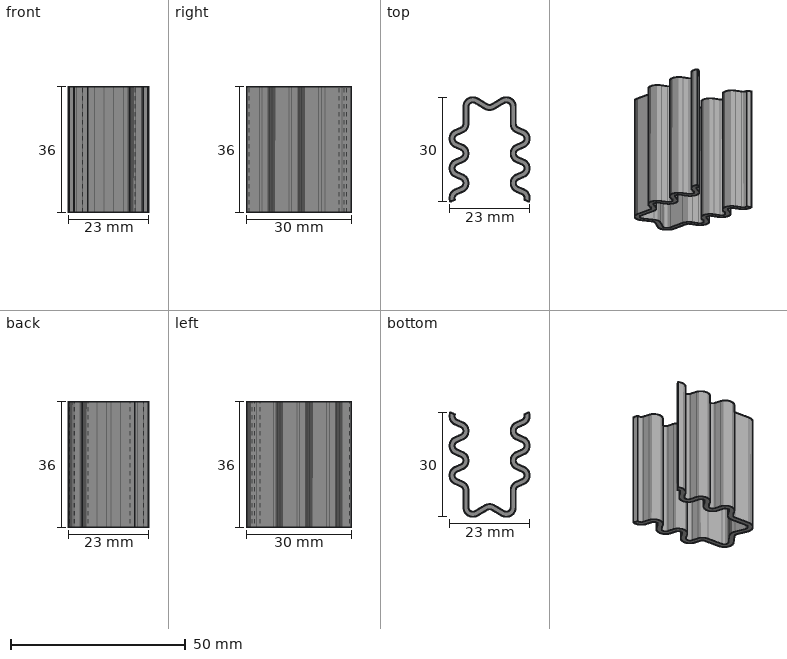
import cadquery as cq
import math

length = 36.0
overall_width = 23.0
thickness = 1.5
wall_outer_x = 7.52
wave_radius = 1.9
wave_half_pitch = 4.25
wall_end_depth = 7.65
wave_bends = 6
shoulder_radius = 1.98
notch_radius = 1.98
notch_depth = 2.2
tip_angle = 25.0

half_thickness = thickness / 2
wall_x = wall_outer_x - half_thickness
crest_x = overall_width / 2 - half_thickness

LEFT_TURN = 1
RIGHT_TURN = -1


def leg_bends():
    """Bends of the right half from the V to the tip: (x, y, radius, turn)."""
    notch_y = notch_radius - notch_depth - half_thickness
    shoulder_y = -shoulder_radius - half_thickness
    bends = [
        (0, notch_y, notch_radius, LEFT_TURN),
        (wall_x - shoulder_radius, shoulder_y, shoulder_radius, RIGHT_TURN),
    ]
    for i in range(wave_bends):
        y = -wall_end_depth - i * wave_half_pitch
        if i % 2 == 0:
            bends.append((wall_x + wave_radius, y, wave_radius, LEFT_TURN))
        else:
            bends.append((crest_x - wave_radius, y, wave_radius, RIGHT_TURN))
    return bends


def tangent_heading(bend, following):
    """Direction of the straight that joins two bends of opposite turn."""
    x1, y1, radius1, turn = bend
    x2, y2, radius2, _ = following
    dx = x2 - x1
    dy = y2 - y1
    lean = math.asin((radius1 + radius2) / math.hypot(dx, dy))
    return math.atan2(dy, dx) + turn * lean


def side_arcs(bends, headings, offset):
    """Start, middle and end of each arc on one face, offset to the path's left."""
    arcs = []
    for (x, y, radius, turn), start, end in zip(bends, headings, headings[1:]):
        reach = turn * radius - offset
        arcs.append([
            (x + reach * math.sin(h), y - reach * math.cos(h))
            for h in (start, (start + end) / 2, end)
        ])
    return arcs


def half_strip():
    bends = leg_bends()
    headings = [0.0]
    headings += [tangent_heading(a, b) for a, b in zip(bends, bends[1:])]
    headings.append(-math.radians(90 + tip_angle))

    outer = side_arcs(bends, headings, half_thickness)
    inner = side_arcs(bends, headings, -half_thickness)
    return_arcs = [arc[::-1] for arc in reversed(inner)]

    sketch = cq.Workplane("XY").moveTo(*outer[0][0])
    for i, (start, middle, end) in enumerate(outer + return_arcs):
        if i > 0:
            sketch = sketch.lineTo(*start)
        sketch = sketch.threePointArc(middle, end)
    return sketch.close().extrude(length)


right_half = half_strip()
result = right_half.union(right_half.mirror("YZ")).clean()